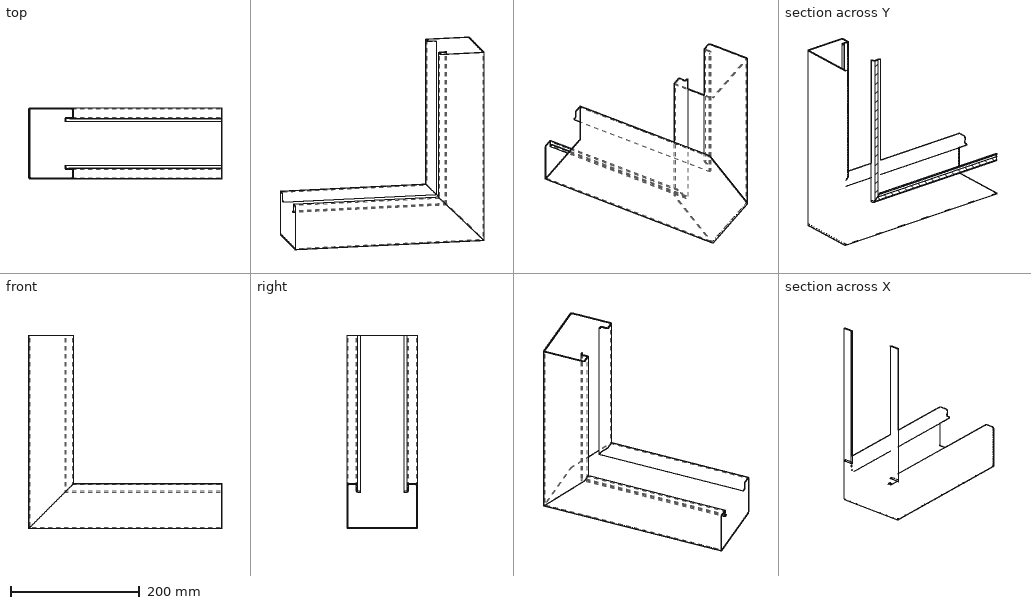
import cadquery as cq

LEG_LENGTH = 300.0
CHANNEL_WIDTH = 110.0
CHANNEL_DEPTH = 70.0
WALL = 1.8
CORNER_RADIUS = 3.0

BEND_FACE_OFFSET = 16.8
LIP_FACE_OFFSET = 16.2
HOOK_TIP_OFFSET = 21.0
BEND_RADIUS = 2.5
HOOK_RADIUS = 3.0

RIDGE_DEPTH = 5.0
INNER_STEP_DEPTH = 6.0
HOOK_DEPTH = 13.5
TIP_RADIUS = 1.5

HALF_WIDTH = CHANNEL_WIDTH / 2
BEND_FACE = HALF_WIDTH - BEND_FACE_OFFSET
LIP_FACE = HALF_WIDTH - LIP_FACE_OFFSET
HOOK_TIP = HALF_WIDTH - HOOK_TIP_OFFSET
HOOK_BACK = CHANNEL_DEPTH - HOOK_DEPTH
ARC_REACH = 0.5 ** 0.5


def rounded_bar(x_min, x_max, y_half, radius):
    """Upright bar of full leg length, centred on Y, with rounded long edges."""
    return (
        cq.Workplane("XY")
        .box(x_max - x_min, 2 * y_half, LEG_LENGTH, centered=(False, True, False))
        .edges("|Z")
        .fillet(radius)
        .translate((x_min, 0, 0))
    )


def channel_shell():
    """Rounded tube whose open face is cut away between the two flange bends."""
    outer = rounded_bar(0, CHANNEL_DEPTH, HALF_WIDTH, CORNER_RADIUS)
    inner = rounded_bar(WALL, CHANNEL_DEPTH - WALL, HALF_WIDTH - WALL, CORNER_RADIUS - WALL)
    mouth = cq.Workplane("XY").box(
        CHANNEL_DEPTH, 2 * (BEND_FACE + BEND_RADIUS), LEG_LENGTH, centered=(False, True, False)
    ).translate((CHANNEL_DEPTH / 2, 0, 0))
    return outer.cut(inner).cut(mouth)


def lip():
    """Lip on the +Y side: flange bend, stepped return lip, and hook toward the middle."""
    bend_x = CHANNEL_DEPTH - BEND_RADIUS
    bend_y = BEND_FACE + BEND_RADIUS
    hook_x = HOOK_BACK + HOOK_RADIUS
    hook_y = LIP_FACE + WALL - HOOK_RADIUS
    hook_front = HOOK_BACK + WALL
    tip_x = hook_front - TIP_RADIUS
    tip_y = HOOK_TIP + TIP_RADIUS
    bend_outer_reach = BEND_RADIUS * ARC_REACH
    bend_inner_reach = (BEND_RADIUS - WALL) * ARC_REACH
    hook_outer_reach = HOOK_RADIUS * ARC_REACH
    hook_inner_reach = (HOOK_RADIUS - WALL) * ARC_REACH
    tip_reach = TIP_RADIUS * ARC_REACH

    profile = (
        cq.Workplane("XY")
        .moveTo(CHANNEL_DEPTH, bend_y)
        .threePointArc((bend_x + bend_outer_reach, bend_y - bend_outer_reach), (bend_x, BEND_FACE))
        .lineTo(CHANNEL_DEPTH - RIDGE_DEPTH, BEND_FACE)
        .lineTo(hook_x, LIP_FACE)
        .threePointArc((hook_x - hook_inner_reach, hook_y + hook_inner_reach), (hook_front, hook_y))
        .lineTo(hook_front, tip_y)
        .threePointArc((tip_x + tip_reach, tip_y - tip_reach), (tip_x, HOOK_TIP))
        .lineTo(HOOK_BACK, HOOK_TIP)
        .lineTo(HOOK_BACK, hook_y)
        .threePointArc((hook_x - hook_outer_reach, hook_y + hook_outer_reach), (hook_x, LIP_FACE + WALL))
        .lineTo(CHANNEL_DEPTH - INNER_STEP_DEPTH, LIP_FACE + WALL)
        .lineTo(bend_x, BEND_FACE + WALL)
        .threePointArc((bend_x + bend_inner_reach, bend_y - bend_inner_reach), (CHANNEL_DEPTH - WALL, bend_y))
        .close()
    )
    return profile.extrude(LEG_LENGTH)


def make_upright_leg():
    """Upright channel, open toward +X, mitred at 45 degrees at its lower end."""
    one_lip = lip()
    channel = channel_shell().union(one_lip).union(one_lip.mirror("XZ"))
    above_mitre = (
        cq.Workplane("XZ")
        .polyline([(0, 0), (LEG_LENGTH, LEG_LENGTH), (0, LEG_LENGTH)])
        .close()
        .extrude(HALF_WIDTH, both=True)
    )
    return channel.intersect(above_mitre)


def make_level_leg(upright):
    """Matching leg along X: the upright leg reflected in the mitre plane X = Z."""
    return upright.rotate((0, 0, 0), (0, 1, 0), 90).mirror("XY")


upright_leg = make_upright_leg()
level_leg = make_level_leg(upright_leg)

result = cq.Compound.makeCompound([upright_leg.val(), level_leg.val()])